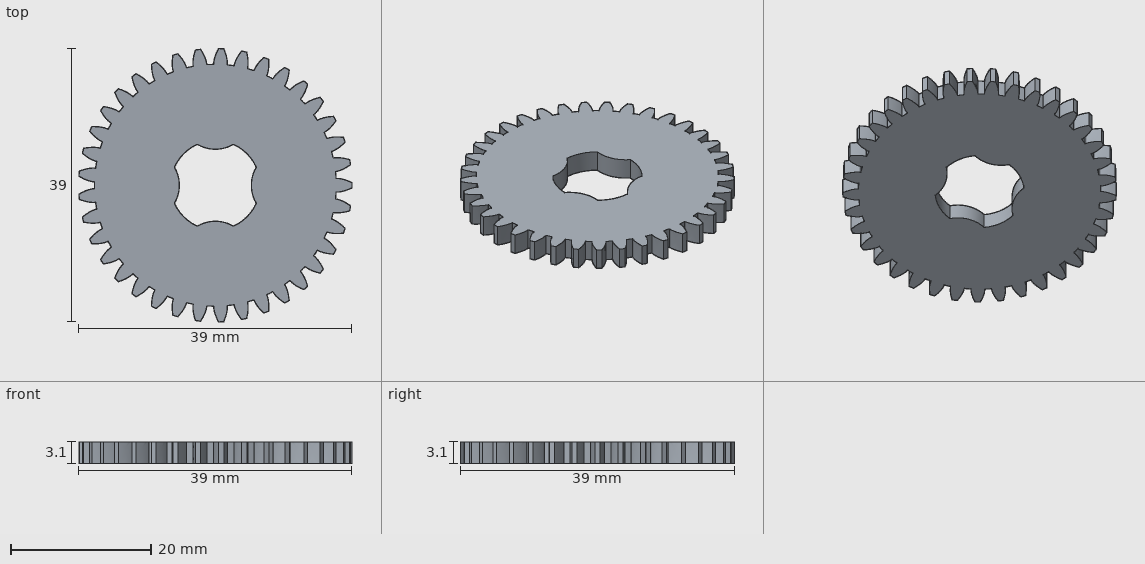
import cadquery as cq
import math

overall_height = 39.0
thickness = 3.1
tooth_count = 37
addendum = 1.0
dedendum = 1.25
pressure_angle = math.radians(20)
flank_steps = 4

bore_radius = 6.35
bulge_radius = 5.0
bulge_gap = 5.1
bulge_count = 4


def polar(radius, angle):
    return radius * math.cos(angle), radius * math.sin(angle)


def involute(angle):
    return math.tan(angle) - angle


def half_tooth_angle(radius_in_modules):
    """Half the angle a tooth spans at a radius on its involute flank."""
    flank_angle = math.acos(base_in_modules / radius_in_modules)
    half_at_pitch = math.pi / (2 * tooth_count)
    return half_at_pitch + involute(pressure_angle) - involute(flank_angle)


pitch_in_modules = tooth_count / 2
tip_in_modules = pitch_in_modules + addendum
root_in_modules = pitch_in_modules - dedendum
base_in_modules = pitch_in_modules * math.cos(pressure_angle)

tooth_pitch = 2 * math.pi / tooth_count
base_half = half_tooth_angle(base_in_modules)
tip_half = half_tooth_angle(tip_in_modules)

top_tooth = tooth_count // 4
top_corner_angle = top_tooth * tooth_pitch + tip_half
tip_radius = overall_height / 2 / math.sin(top_corner_angle)
module = tip_radius / tip_in_modules
root_radius = root_in_modules * module


def flank_points(middle, side):
    """Points from base circle to tip; side is -1 or +1 about the tooth middle."""
    points = []
    for step in range(flank_steps + 1):
        radius = base_in_modules + (tip_in_modules - base_in_modules) * step / flank_steps
        points.append(polar(radius * module, middle + side * half_tooth_angle(radius)))
    return points


def gear_outline():
    """Teeth counter-clockwise, with radial feet below the base circle."""
    outline = cq.Workplane("XY").moveTo(*polar(root_radius, -base_half))
    for tooth in range(tooth_count):
        middle = tooth * tooth_pitch
        rising = flank_points(middle, -1)
        falling = flank_points(middle, 1)[::-1]
        next_foot = middle + tooth_pitch - base_half
        outline = (
            outline.lineTo(*rising[0])
            .spline(rising[1:], includeCurrent=True)
            .threePointArc(polar(tip_radius, middle), falling[0])
            .spline(falling[1:], includeCurrent=True)
            .lineTo(*polar(root_radius, middle + base_half))
            .threePointArc(
                polar(root_radius, middle + tooth_pitch / 2),
                polar(root_radius, next_foot),
            )
        )
    return outline.close()


def bore():
    bulges = (
        cq.Workplane("XY")
        .polarArray(bulge_gap + bulge_radius, 0, 360, bulge_count)
        .circle(bulge_radius)
        .extrude(thickness)
    )
    return cq.Workplane("XY").circle(bore_radius).extrude(thickness).cut(bulges)


result = gear_outline().extrude(thickness).cut(bore())